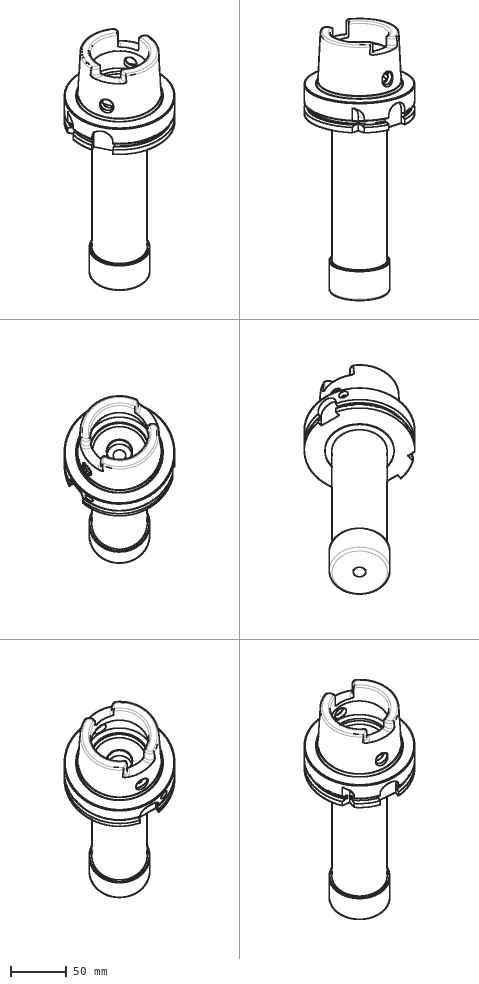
import cadquery as cq
import math

TOTAL_HEIGHT = 250.0
FLANGE_TOP = 200.0
FLANGE_BOTTOM = 171.0
COLLAR_BOTTOM = 170.2
NUT_TOP = 29.5

TAPER_TIP_RADIUS = 35.5
TAPER_BASE_RADIUS = 37.8
TAPER_BASE_Z = 202.2
RIM_FILLET = 1.8
RELIEF_RADIUS = 37.0
RELIEF_OUTER_RADIUS = 39.5
RELIEF_DEPTH = 0.8
RELIEF_FILLET = 1.5

FLANGE_RADIUS = 50.0
FLANGE_CHAMFER = 0.8
GROOVE_Z = 179.5
GROOVE_MOUTH_WIDTH = 6.8
GROOVE_FLOOR_WIDTH = 3.8
GROOVE_SHOULDER_RADIUS = 47.5
GROOVE_FLOOR_RADIUS = 45.5
GROOVE_FILLET = 0.8

COLLAR_RADIUS = 31.2
SHAFT_RADIUS = 25.0
NUT_RADIUS = 27.5
NUT_TOP_CHAMFER = 0.8
NUT_BOTTOM_FILLET = 2.5

BORE_RADIUS = 26.5
BORE_LIP_Z = 230.5
RECESS_RADIUS = 31.5
RECESS_SHOULDER_ANGLE = 30.0
RECESS_BOTTOM_Z = 207.5
BORE_FLOOR_RADIUS = 24.2
BORE_FLOOR_Z = 202.5
COUNTERBORE_RADIUS = 11.2
COUNTERBORE_DEPTH = 10.0
COUNTERBORE_CHAMFER = 0.5
THROUGH_HOLE_DIAMETER = 11.2

RIM_SLOT_WIDTH = 20.0
RIM_SLOT_FLARE = 5.8
RIM_SLOT_FLARE_START = 25.8
RIM_SLOT_FLOOR_FILLET = 2.0
FRONT_RIM_SLOT_DEPTH = 10.0
BACK_RIM_SLOT_DEPTH = 15.0

CROSS_HOLE_DIAMETER = 12.0
CROSS_HOLE_MOUTH_DIAMETER = 14.5
CROSS_HOLE_Z = 214.8

KEYWAY_WIDTH = 20.0
KEYWAY_ARCH_Z = 185.0
KEYWAY_FLOOR = 44.0
NOTCH_CORNER = 31.2

CHIP_HOLE_DIAMETER = 8.5
CHIP_HOLE_DEPTH = 4.5
CHIP_HOLE_Z = 192.5
CHIP_HOLE_ANGLE = 110.0


def make_body():
    mouth = GROOVE_MOUTH_WIDTH / 2
    floor = GROOVE_FLOOR_WIDTH / 2
    relief_z = FLANGE_TOP - RELIEF_DEPTH
    return (
        cq.Workplane("XZ")
        .moveTo(0, 0)
        .lineTo(NUT_RADIUS - NUT_BOTTOM_FILLET, 0)
        .radiusArc((NUT_RADIUS, NUT_BOTTOM_FILLET), -NUT_BOTTOM_FILLET)
        .lineTo(NUT_RADIUS, NUT_TOP - NUT_TOP_CHAMFER)
        .lineTo(NUT_RADIUS - NUT_TOP_CHAMFER, NUT_TOP)
        .lineTo(SHAFT_RADIUS, NUT_TOP)
        .lineTo(SHAFT_RADIUS, COLLAR_BOTTOM)
        .lineTo(COLLAR_RADIUS, COLLAR_BOTTOM)
        .lineTo(COLLAR_RADIUS, FLANGE_BOTTOM)
        .lineTo(FLANGE_RADIUS, FLANGE_BOTTOM)
        .lineTo(FLANGE_RADIUS, GROOVE_Z - mouth)
        .lineTo(GROOVE_SHOULDER_RADIUS, GROOVE_Z - floor)
        .lineTo(GROOVE_FLOOR_RADIUS + GROOVE_FILLET, GROOVE_Z - floor)
        .radiusArc((GROOVE_FLOOR_RADIUS, GROOVE_Z - floor + GROOVE_FILLET), GROOVE_FILLET)
        .lineTo(GROOVE_FLOOR_RADIUS, GROOVE_Z + floor - GROOVE_FILLET)
        .radiusArc((GROOVE_FLOOR_RADIUS + GROOVE_FILLET, GROOVE_Z + floor), GROOVE_FILLET)
        .lineTo(GROOVE_SHOULDER_RADIUS, GROOVE_Z + floor)
        .lineTo(FLANGE_RADIUS, GROOVE_Z + mouth)
        .lineTo(FLANGE_RADIUS, FLANGE_TOP - FLANGE_CHAMFER)
        .lineTo(FLANGE_RADIUS - FLANGE_CHAMFER, FLANGE_TOP)
        .lineTo(RELIEF_OUTER_RADIUS, FLANGE_TOP)
        .lineTo(RELIEF_OUTER_RADIUS - RELIEF_DEPTH, relief_z)
        .lineTo(RELIEF_RADIUS + RELIEF_FILLET, relief_z)
        .radiusArc((RELIEF_RADIUS, relief_z + RELIEF_FILLET), RELIEF_FILLET)
        .lineTo(RELIEF_RADIUS, TAPER_BASE_Z - (TAPER_BASE_RADIUS - RELIEF_RADIUS))
        .lineTo(TAPER_BASE_RADIUS, TAPER_BASE_Z)
        .lineTo(TAPER_TIP_RADIUS, TOTAL_HEIGHT)
        .lineTo(0, TOTAL_HEIGHT)
        .close()
        .revolve(360, (0, 0, 0), (0, 1, 0))
    )


def make_bore():
    shoulder_drop = (RECESS_RADIUS - BORE_RADIUS) * math.tan(math.radians(RECESS_SHOULDER_ANGLE))
    counterbore_z = BORE_FLOOR_Z - COUNTERBORE_DEPTH
    return (
        cq.Workplane("XZ")
        .moveTo(0, TOTAL_HEIGHT)
        .lineTo(BORE_RADIUS, TOTAL_HEIGHT)
        .lineTo(BORE_RADIUS, BORE_LIP_Z)
        .lineTo(RECESS_RADIUS, BORE_LIP_Z - shoulder_drop)
        .lineTo(RECESS_RADIUS, RECESS_BOTTOM_Z)
        .lineTo(BORE_RADIUS, RECESS_BOTTOM_Z)
        .lineTo(BORE_RADIUS, BORE_FLOOR_Z + BORE_RADIUS - BORE_FLOOR_RADIUS)
        .lineTo(BORE_FLOOR_RADIUS, BORE_FLOOR_Z)
        .lineTo(COUNTERBORE_RADIUS + COUNTERBORE_CHAMFER, BORE_FLOOR_Z)
        .lineTo(COUNTERBORE_RADIUS, BORE_FLOOR_Z - COUNTERBORE_CHAMFER)
        .lineTo(COUNTERBORE_RADIUS, counterbore_z)
        .lineTo(THROUGH_HOLE_DIAMETER / 2, counterbore_z)
        .lineTo(THROUGH_HOLE_DIAMETER / 2, 0)
        .lineTo(0, 0)
        .close()
        .revolve(360, (0, 0, 0), (0, 1, 0))
    )


def make_rim_slot(depth, side):
    """Slot opening toward side * Y, flaring outward through rounded corners."""
    half = RIM_SLOT_WIDTH / 2
    flare_x = half + RIM_SLOT_FLARE
    flare_end = RIM_SLOT_FLARE_START + RIM_SLOT_FLARE
    outer_x = FLANGE_RADIUS
    outer_y = FLANGE_RADIUS
    slot = (
        cq.Workplane("XY")
        .workplane(offset=TOTAL_HEIGHT - depth)
        .moveTo(-half, 0)
        .lineTo(half, 0)
        .lineTo(half, RIM_SLOT_FLARE_START)
        .radiusArc((flare_x, flare_end), RIM_SLOT_FLARE)
        .lineTo(outer_x, flare_end)
        .lineTo(outer_x, outer_y)
        .lineTo(-outer_x, outer_y)
        .lineTo(-outer_x, flare_end)
        .lineTo(-flare_x, flare_end)
        .radiusArc((-half, RIM_SLOT_FLARE_START), RIM_SLOT_FLARE)
        .close()
        .extrude(2 * depth)
        .faces("<Z")
        .edges()
        .fillet(RIM_SLOT_FLOOR_FILLET)
    )
    return slot if side > 0 else slot.mirror("XZ")


def make_cross_hole():
    """Hole along Y with a conical mouth on both sides of the shank."""
    hole = (
        cq.Workplane("XZ", origin=(0, 0, CROSS_HOLE_Z))
        .circle(CROSS_HOLE_DIAMETER / 2)
        .extrude(FLANGE_RADIUS, both=True)
    )
    rise = (CROSS_HOLE_MOUTH_DIAMETER - CROSS_HOLE_DIAMETER) / 2
    wall_z_ratio = (TOTAL_HEIGHT - CROSS_HOLE_Z) / (TOTAL_HEIGHT - TAPER_BASE_Z)
    wall_y = TAPER_TIP_RADIUS + (TAPER_BASE_RADIUS - TAPER_TIP_RADIUS) * wall_z_ratio
    for side in (1, -1):
        mouth = cq.Solid.makeCone(
            CROSS_HOLE_DIAMETER / 2,
            CROSS_HOLE_DIAMETER / 2 + 2 * rise,
            2 * rise,
            cq.Vector(0, side * (wall_y - rise), CROSS_HOLE_Z),
            cq.Vector(0, side, 0),
        )
        hole = hole.union(cq.Workplane(obj=mouth))
    return hole


def make_keyway(center_x, floor, side):
    """Arched slot across the lower flange edge, cut from side * Y inward to the floor."""
    radius = KEYWAY_WIDTH / 2
    leg = KEYWAY_ARCH_Z - FLANGE_BOTTOM
    depth = 2 * FLANGE_RADIUS
    y_center = side * (floor + depth / 2)
    arch = (
        cq.Workplane("XZ", origin=(center_x, y_center, KEYWAY_ARCH_Z))
        .circle(radius)
        .extrude(depth / 2, both=True)
    )
    legs = cq.Workplane("XY").box(KEYWAY_WIDTH, depth, leg)
    return arch.union(legs.translate((center_x, y_center, KEYWAY_ARCH_Z - leg / 2)))


def make_chip_hole():
    angle = math.radians(CHIP_HOLE_ANGLE)
    outward = cq.Vector(math.cos(angle), math.sin(angle), 0)
    start = outward * (FLANGE_RADIUS - CHIP_HOLE_DEPTH) + cq.Vector(0, 0, CHIP_HOLE_Z)
    return cq.Solid.makeCylinder(CHIP_HOLE_DIAMETER / 2, 2 * CHIP_HOLE_DEPTH, start, outward)


result = make_body().cut(make_bore())
result = result.cut(make_rim_slot(FRONT_RIM_SLOT_DEPTH, -1))
result = result.cut(make_rim_slot(BACK_RIM_SLOT_DEPTH, 1))
result = result.faces(">Z").edges().fillet(RIM_FILLET)
result = result.cut(make_cross_hole())
for keyway_side in (1, -1):
    result = result.cut(make_keyway(0, KEYWAY_FLOOR, keyway_side))
result = result.cut(make_keyway(-NOTCH_CORNER - KEYWAY_WIDTH / 2, NOTCH_CORNER, -1))
result = result.cut(make_chip_hole())